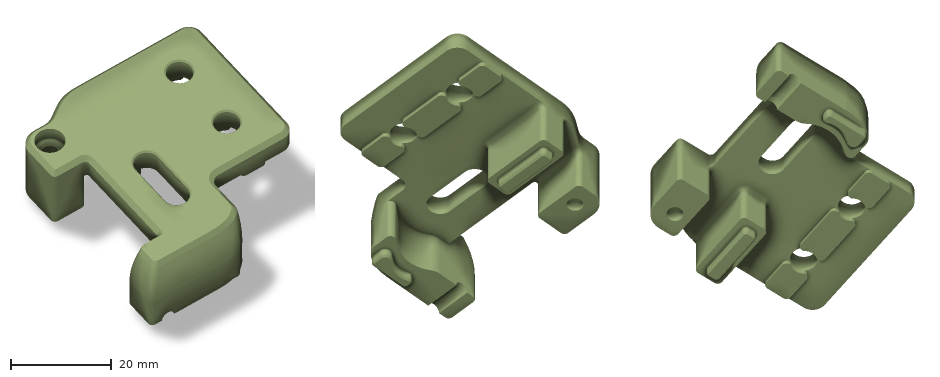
import cadquery as cq
import math


LENGTH = 49.5
DEPTH = 46.0
HEIGHT = 17.0
PLATE_THICKNESS = 5.0
PEG_HEIGHT = 2.0
FOOT_BOTTOM = PEG_HEIGHT
PLATE_BOTTOM = HEIGHT - PLATE_THICKNESS
EDGE_CHAMFER = 1.0
CHAMFER_START = HEIGHT - EDGE_CHAMFER

PLATE_RIGHT = 35.0
PLATE_CORNER_RADIUS = 3.0
ARM_BACK = 25.0
ARM_CORNER_RADIUS = 2.0
GAP_LEFT = 16.5
GAP_RIGHT = 41.5
GAP_BACK = 8.0
GAP_CORNER_RADIUS = 1.0
FOOT_LEFT = 4.2
FOOT_CORNER_RADIUS = 4.0
FOOT_FRONT_CORNER_RADIUS = 1.02
PLATE_OVERLAP_IN_LEG = 2.05
SHOULDER_BEND_FRONT = 7.75
SHOULDER_BEND_BACK = 13.9
SHOULDER_FRONT_RADIUS = 4.0
SHOULDER_BACK_RADIUS = 10.0

BOLT_HOLE_DIAMETER = 5.5
BOLT_HOLE_FIRST_X = 9.5
BOLT_HOLE_PITCH = 16.0
BOLT_HOLE_Y = 36.0
SLOT_CENTER = (29.65, 16.96)
SLOT_LENGTH = 15.4
OPENING_CHAMFER = 0.35

KEY_WIDTH = 6.0
KEY_DROP = 1.0
KEY_GAP = 4.3
KEY_CORNER_RADIUS = 1.0

SCREW_CENTER = (8.85, 4.6)
SCREW_DIAMETER = 3.4
SCREW_HEAD_DIAMETER = 6.2
SCREW_HEAD_DEPTH = 3.0
SCREW_CONE_DIAMETER = 4.6

BLOCK_FRONT = 15.8
BLOCK_BACK = 22.0
SUPPORT_CORNER_RADIUS = 1.1
JOIN_RADIUS = 1.0

PEG_INSET = 1.5
PEG_CORNER_RADIUS = 1.0
PEG_TIP_CHAMFER = 0.4
LEFT_PEG_FRONT = 17.4
RIGHT_PEG_FRONT = 13.6
RIGHT_PEG_BACK = 23.4
RIGHT_PEG_TIP_RADIUS = 1.4
RIGHT_PEG_HOLLOW_RADIUS = 5.0

LEG_WALL_TOP = 9.0
LEG_TOP_INSET = 3.0
LEG_CORNER_RADIUS = 1.0
LEG_CORNER_FRONT = 17.0
LEG_CORNER_LEFT = 45.0
LEG_CORNER_SHIFT = 2.0 / 3.0
LEG_SECTION_COUNT = 5
LEG_STRIP_RIGHT = 44.5
LEG_STRIP_FRONT = 5.0
HOLLOW_SLOPE = 0.7
HOLLOW_START = 11.5
HOLLOW_CENTER_Y = 16.8
HOLLOW_APEX_X = GAP_RIGHT + HOLLOW_SLOPE * (HOLLOW_CENTER_Y - HOLLOW_START)
HOLLOW_RADIUS = 8.0
HOLLOW_START_RADIUS = 3.5
LEG_TIP_RADIUS = 1.1
GROOVE_RADIUS = 1.5
GROOVE_Y = 4.2


def rounded_outline(corners, z):
    """Closed outline at height z from (x, y, radius) corners; radius 0 stays sharp."""
    ends = []
    for index, (x, y, radius) in enumerate(corners):
        before = corners[index - 1]
        after = corners[(index + 1) % len(corners)]
        corner = cq.Vector(x, y, 0)
        to_before = (cq.Vector(before[0], before[1], 0) - corner).normalized()
        to_after = (cq.Vector(after[0], after[1], 0) - corner).normalized()
        half_angle = to_before.getAngle(to_after) / 2
        tangent_length = radius / math.tan(half_angle)
        bisector = (to_before + to_after).normalized()
        middle = corner + bisector * (radius / math.sin(half_angle) - radius)
        start = corner + to_before * tangent_length
        end = corner + to_after * tangent_length
        ends.append((start, middle, end, radius))

    outline = cq.Workplane("XY").workplane(offset=z).moveTo(ends[0][2].x, ends[0][2].y)
    for start, middle, end, radius in ends[1:] + ends[:1]:
        outline = outline.lineTo(start.x, start.y)
        if radius > 0:
            outline = outline.threePointArc((middle.x, middle.y), (end.x, end.y))
    return outline.close()


def rounded_box(x_range, y_range, z_range, radius):
    """Upright box with all four vertical edges rounded."""
    (x0, x1), (y0, y1), (z0, z1) = x_range, y_range, z_range
    corners = [(x0, y0, radius), (x1, y0, radius), (x1, y1, radius), (x0, y1, radius)]
    return rounded_outline(corners, z0).extrude(z1 - z0)


def plate_outline(z):
    """Plate outline, ending on the right inside the leg."""
    inside_leg_x = GAP_RIGHT + PLATE_OVERLAP_IN_LEG
    inside_leg_y = LEG_TOP_INSET + EDGE_CHAMFER
    corners = [
        (FOOT_LEFT, 0, FOOT_CORNER_RADIUS),
        (GAP_LEFT, 0, FOOT_FRONT_CORNER_RADIUS),
        (GAP_LEFT, GAP_BACK, GAP_CORNER_RADIUS),
        (GAP_RIGHT, GAP_BACK, GAP_CORNER_RADIUS),
        (GAP_RIGHT, inside_leg_y, 0),
        (inside_leg_x, inside_leg_y, 0),
        (inside_leg_x, ARM_BACK, 0),
        (PLATE_RIGHT, ARM_BACK, ARM_CORNER_RADIUS),
        (PLATE_RIGHT, DEPTH, PLATE_CORNER_RADIUS),
        (0, DEPTH, PLATE_CORNER_RADIUS),
        (0, SHOULDER_BEND_BACK, SHOULDER_BACK_RADIUS),
        (FOOT_LEFT, SHOULDER_BEND_FRONT, SHOULDER_FRONT_RADIUS),
    ]
    return rounded_outline(corners, z)


def make_supported_plate():
    """Plate with the left block and foot, trimmed flush with the plate outline."""
    margin = 2 * JOIN_RADIUS
    slab = cq.Workplane("XY").box(
        LENGTH + 2 * margin, DEPTH + 2 * margin, PLATE_THICKNESS, centered=False
    ).translate((-margin, -margin, PLATE_BOTTOM))
    levels = (FOOT_BOTTOM, PLATE_BOTTOM)
    block = rounded_box((0, GAP_LEFT), (BLOCK_FRONT, BLOCK_BACK), levels, SUPPORT_CORNER_RADIUS)
    foot_corners = [
        (FOOT_LEFT, 0, FOOT_CORNER_RADIUS),
        (GAP_LEFT, 0, FOOT_FRONT_CORNER_RADIUS),
        (GAP_LEFT, GAP_BACK, SUPPORT_CORNER_RADIUS),
        (FOOT_LEFT, GAP_BACK, SUPPORT_CORNER_RADIUS),
    ]
    foot = rounded_outline(foot_corners, FOOT_BOTTOM).extrude(PLATE_BOTTOM - FOOT_BOTTOM)
    body = slab.union(block).union(foot)
    join_edges = cq.selectors.BoxSelector(
        (-JOIN_RADIUS, -JOIN_RADIUS, PLATE_BOTTOM - JOIN_RADIUS),
        (GAP_LEFT + JOIN_RADIUS, BLOCK_BACK + JOIN_RADIUS, PLATE_BOTTOM + JOIN_RADIUS),
    )
    body = body.edges(join_edges).fillet(JOIN_RADIUS)

    envelope = plate_outline(FOOT_BOTTOM).extrude(HEIGHT - FOOT_BOTTOM)
    envelope = envelope.faces(">Z").edges().chamfer(EDGE_CHAMFER)
    return body.intersect(envelope)


def leg_section(z, inset, back_inset):
    """Leg outline at height z: front and right sides inset, elliptical back right corner."""
    radius = LEG_CORNER_RADIUS
    right = LENGTH - inset
    back = ARM_BACK - back_inset
    ellipse_x = LEG_CORNER_LEFT - LEG_CORNER_SHIFT * inset
    diagonal = radius * (1 - math.sqrt(0.5))

    def point(x, y):
        return cq.Vector(x, y, z)

    edges = [
        cq.Edge.makeLine(point(GAP_RIGHT, back), point(GAP_RIGHT, inset + radius)),
        cq.Edge.makeThreePointArc(
            point(GAP_RIGHT, inset + radius),
            point(GAP_RIGHT + diagonal, inset + diagonal),
            point(GAP_RIGHT + radius, inset),
        ),
        cq.Edge.makeLine(point(GAP_RIGHT + radius, inset), point(right - radius, inset)),
        cq.Edge.makeThreePointArc(
            point(right - radius, inset),
            point(right - diagonal, inset + diagonal),
            point(right, inset + radius),
        ),
        cq.Edge.makeLine(point(right, inset + radius), point(right, LEG_CORNER_FRONT)),
        cq.Edge.makeSpline(
            [
                point(
                    ellipse_x + (right - ellipse_x) * math.cos(math.radians(angle)),
                    LEG_CORNER_FRONT + (back - LEG_CORNER_FRONT) * math.sin(math.radians(angle)),
                )
                for angle in (0, 22.5, 45, 67.5, 90)
            ],
            tangents=[cq.Vector(0, 1, 0), cq.Vector(-1, 0, 0)],
        ),
        cq.Edge.makeLine(point(ellipse_x, back), point(GAP_RIGHT, back)),
    ]
    return cq.Wire.assembleEdges(edges)


def dome_inset(z):
    """Inward curve of the leg's sides, an arc upright where the straight wall ends."""
    rise = HEIGHT - LEG_WALL_TOP
    radius = (rise**2 + LEG_TOP_INSET**2) / (2 * LEG_TOP_INSET)
    return radius - math.sqrt(radius**2 - (z - LEG_WALL_TOP) ** 2)


def make_leg_hull():
    """Outside shape of the leg: straight wall, domed part and chamfered rim."""
    wall = cq.Solid.extrudeLinear(
        leg_section(FOOT_BOTTOM, 0, 0), [], cq.Vector(0, 0, LEG_WALL_TOP - FOOT_BOTTOM)
    )
    step = (CHAMFER_START - LEG_WALL_TOP) / (LEG_SECTION_COUNT - 1)
    dome_levels = [LEG_WALL_TOP + step * index for index in range(LEG_SECTION_COUNT)]
    dome = cq.Solid.makeLoft([leg_section(z, dome_inset(z), 0) for z in dome_levels])
    rim = cq.Solid.makeLoft(
        [
            leg_section(CHAMFER_START, dome_inset(CHAMFER_START), 0),
            leg_section(HEIGHT, LEG_TOP_INSET, EDGE_CHAMFER),
        ],
        True,
    )
    return cq.Workplane(wall).union(cq.Workplane(dome)).union(cq.Workplane(rim))


def make_leg():
    """Right leg with a shallow hollow in its inner face and a groove across its bottom."""
    tip_x = HOLLOW_APEX_X - HOLLOW_SLOPE * (ARM_BACK - HOLLOW_CENTER_Y)
    wall_height = PLATE_BOTTOM - FOOT_BOTTOM
    inner_strip = rounded_outline(
        [
            (GAP_RIGHT, LEG_STRIP_FRONT, 0),
            (LEG_STRIP_RIGHT, LEG_STRIP_FRONT, 0),
            (LEG_STRIP_RIGHT, ARM_BACK, 0),
            (tip_x, ARM_BACK, LEG_TIP_RADIUS),
            (HOLLOW_APEX_X, HOLLOW_CENTER_Y, HOLLOW_RADIUS),
            (GAP_RIGHT, HOLLOW_START, HOLLOW_START_RADIUS),
        ],
        FOOT_BOTTOM,
    ).extrude(wall_height)
    strip_space = cq.Workplane("XY").box(
        LEG_STRIP_RIGHT - GAP_RIGHT, ARM_BACK - LEG_STRIP_FRONT, wall_height, centered=False
    ).translate((GAP_RIGHT, LEG_STRIP_FRONT, FOOT_BOTTOM))
    groove = cq.Workplane("YZ").center(GROOVE_Y, FOOT_BOTTOM).circle(GROOVE_RADIUS).extrude(LENGTH)
    groove = groove.translate((GAP_RIGHT - GROOVE_RADIUS, 0, 0))
    return make_leg_hull().cut(strip_space).union(inner_strip).cut(groove)


def make_pegs():
    """Locating pegs below the left block and the right leg, inset from their sides."""
    left_peg = rounded_box(
        (PEG_INSET, GAP_LEFT - PEG_INSET),
        (LEFT_PEG_FRONT, BLOCK_BACK - PEG_INSET),
        (0, PEG_HEIGHT),
        PEG_CORNER_RADIUS,
    )
    hollow_x = HOLLOW_APEX_X + PEG_INSET * math.hypot(1, HOLLOW_SLOPE)
    right = LENGTH - PEG_INSET
    front_x = hollow_x - HOLLOW_SLOPE * (HOLLOW_CENTER_Y - LEG_STRIP_FRONT)
    tip_x = hollow_x - HOLLOW_SLOPE * (RIGHT_PEG_BACK - HOLLOW_CENTER_Y)
    right_peg = rounded_outline(
        [
            (front_x, LEG_STRIP_FRONT, 0),
            (right, LEG_STRIP_FRONT, 0),
            (right, RIGHT_PEG_BACK, PEG_CORNER_RADIUS),
            (tip_x, RIGHT_PEG_BACK, RIGHT_PEG_TIP_RADIUS),
            (hollow_x, HOLLOW_CENTER_Y, RIGHT_PEG_HOLLOW_RADIUS),
        ],
        0,
    ).extrude(PEG_HEIGHT)
    front_waste = cq.Workplane("XY").box(LENGTH, RIGHT_PEG_FRONT, HEIGHT, centered=False)
    right_peg = right_peg.cut(front_waste)
    right_peg = right_peg.faces("<Y").edges("|Z").fillet(PEG_CORNER_RADIUS)
    return [peg.faces("<Z").edges().chamfer(PEG_TIP_CHAMFER) for peg in (left_peg, right_peg)]


def make_keys():
    """Row of keys under the plate, with a gap around each bolt hole."""
    second_hole_x = BOLT_HOLE_FIRST_X + BOLT_HOLE_PITCH
    spans = [
        (0, BOLT_HOLE_FIRST_X - KEY_GAP / 2),
        (BOLT_HOLE_FIRST_X + KEY_GAP / 2, second_hole_x - KEY_GAP / 2),
        (second_hole_x + KEY_GAP / 2, PLATE_RIGHT),
    ]
    width = (BOLT_HOLE_Y - KEY_WIDTH / 2, BOLT_HOLE_Y + KEY_WIDTH / 2)
    levels = (PLATE_BOTTOM - KEY_DROP, PLATE_BOTTOM)
    return [rounded_box(span, width, levels, KEY_CORNER_RADIUS) for span in spans]


def cut_bolt_openings(body):
    """Two bolt holes and the adjusting slot, all with a lightly chamfered rim."""
    top = cq.Workplane("XY").workplane(offset=HEIGHT)
    holes = [(BOLT_HOLE_FIRST_X + BOLT_HOLE_PITCH * index, BOLT_HOLE_Y) for index in range(2)]
    depth = -(PLATE_THICKNESS + KEY_DROP)
    rim_diameter = BOLT_HOLE_DIAMETER + 2 * OPENING_CHAMFER
    rim_slot_length = SLOT_LENGTH + 2 * OPENING_CHAMFER
    body = body.cut(top.pushPoints(holes).circle(BOLT_HOLE_DIAMETER / 2).extrude(depth))
    body = body.cut(top.pushPoints(holes).circle(rim_diameter / 2).extrude(-OPENING_CHAMFER, taper=45))
    body = body.cut(top.center(*SLOT_CENTER).slot2D(SLOT_LENGTH, BOLT_HOLE_DIAMETER).extrude(depth))
    slot_rim = top.center(*SLOT_CENTER).slot2D(rim_slot_length, rim_diameter)
    return body.cut(slot_rim.extrude(-OPENING_CHAMFER, taper=45))


def cut_screw_hole(body):
    """Foot screw hole with a flat head recess and a conical lead-in."""
    head_floor = HEIGHT - SCREW_HEAD_DEPTH
    cone_depth = (SCREW_CONE_DIAMETER - SCREW_DIAMETER) / 2
    profile = [
        (0, FOOT_BOTTOM),
        (SCREW_DIAMETER / 2, FOOT_BOTTOM),
        (SCREW_DIAMETER / 2, head_floor - cone_depth),
        (SCREW_CONE_DIAMETER / 2, head_floor),
        (SCREW_HEAD_DIAMETER / 2, head_floor),
        (SCREW_HEAD_DIAMETER / 2, HEIGHT),
        (0, HEIGHT),
    ]
    tool = cq.Workplane("XZ").polyline(profile).close().revolve(360, (0, 0, 0), (0, 1, 0))
    return body.cut(tool.translate((SCREW_CENTER[0], SCREW_CENTER[1], 0)))


bracket = make_supported_plate().union(make_leg())
for attachment in make_pegs() + make_keys():
    bracket = bracket.union(attachment)
bracket = cut_bolt_openings(bracket)
result = cut_screw_hole(bracket)